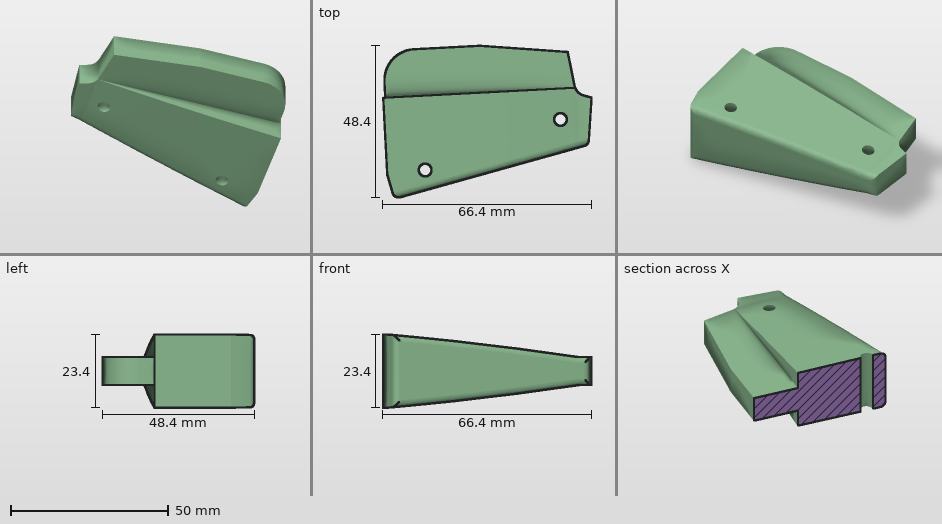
import cadquery as cq

tilt_angle = 3.0

plate_thickness = 9.0
block_thickness = 23.39

wedge_length = 61.5
wedge_bulge = 0.45

left_face_length = 24.45
bottom_left = (1.89, -32.37)
bottom_right = (64.59, -18.38)
right_end_top = (66.35, -3.4)

plate_left = 0.64
left_edge_bend = (plate_left, 4.87)
plate_top = 14.97
upper_left = (1.18, plate_top)
peak = (31.63, plate_top)
upper_right = (59.49, 11.54)
notch_corner = (61.49, -1.8)

plate_corner_radius = 10.0
notch_radius = 4.0
face_fillet_radius = 2.0

hole_diameter = 4.0
hole_centers = [(12.18, -23.67), (56.06, -9.85)]


def vertical_edge_at(point):
    """Selector for the upright edge that stands on an outline point."""
    x, y = point
    half_width = 0.1
    half_height = block_thickness
    low_corner = (x - half_width, y - half_width, -half_height)
    high_corner = (x + half_width, y + half_width, half_height)
    return cq.selectors.BoxSelector(low_corner, high_corner, boundingbox=False)


def make_outline_prism():
    """Full outline of the part, as tall as the block, with its rounded corners."""
    points = [
        (0, 0),
        (0, -left_face_length),
        bottom_left,
        bottom_right,
        right_end_top,
        notch_corner,
        upper_right,
        peak,
        upper_left,
        left_edge_bend,
        (plate_left, 0),
    ]
    prism = cq.Workplane("XY").polyline(points).close().extrude(block_thickness / 2, both=True)
    prism = prism.edges(vertical_edge_at(upper_left)).fillet(plate_corner_radius)
    return prism.edges(vertical_edge_at(notch_corner)).fillet(notch_radius)


def make_plate_slab():
    """Flat slab that covers the whole outline at the plate's thickness."""
    margin = 5.0
    width = right_end_top[0] + 2 * margin
    depth = plate_top - bottom_left[1] + 2 * margin
    slab = cq.Workplane("XY").box(width, depth, plate_thickness, centered=(False, False, True))
    return slab.translate((-margin, bottom_left[1] - margin, 0))


def make_wedge():
    """Tapering block section, swept straight down from the block's upper edge."""
    half_block = block_thickness / 2
    half_plate = plate_thickness / 2
    middle_x = wedge_length / 2
    middle_z = (half_block + half_plate) / 2 + wedge_bulge
    profile = (
        cq.Workplane("XZ")
        .moveTo(0, -half_block)
        .lineTo(0, half_block)
        .threePointArc((middle_x, middle_z), (wedge_length, half_plate))
        .lineTo(wedge_length, -half_plate)
        .threePointArc((middle_x, -middle_z), (0, -half_block))
        .close()
    )
    return profile.extrude(-bottom_left[1])


def round_bottom_face(body):
    """Round all the edges around the sloping bottom face."""
    middle = ((bottom_left[0] + bottom_right[0]) / 2, (bottom_left[1] + bottom_right[1]) / 2, 0)
    face = cq.selectors.NearestToPointSelector(middle)
    return body.faces(face).edges().fillet(face_fillet_radius)


def drill_holes(body):
    """Drill the screw holes right through the block."""
    drills = (
        cq.Workplane("XY")
        .pushPoints(hole_centers)
        .circle(hole_diameter / 2)
        .extrude(block_thickness, both=True)
    )
    return body.cut(drills)


body = make_plate_slab().union(make_wedge()).intersect(make_outline_prism())
body = round_bottom_face(body)
body = drill_holes(body)
result = body.rotate((0, 0, 0), (0, 0, 1), tilt_angle)